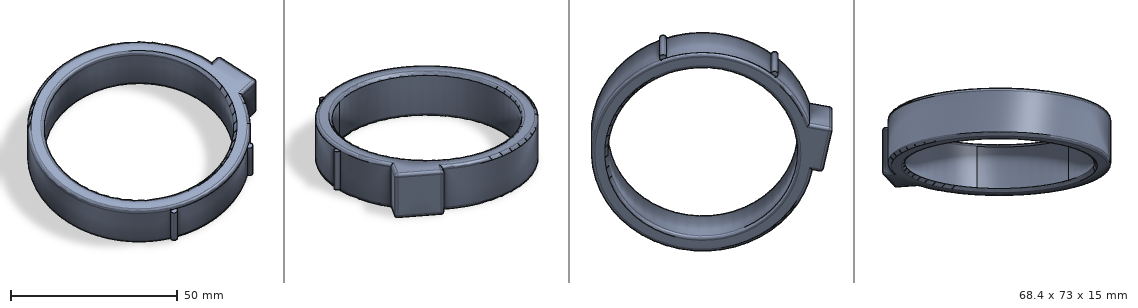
import cadquery as cq
import math

bore_radius = 28.5
wall = 5.05
outer_radius = bore_radius + wall
height = 15.0
edge_round = 1.0

block_tilt = 27.0
block_near_side = 0.7
block_width = 15.1
block_outer_face = 36.65

panel_start = -5.2
panel_end = 55.0
panel_height = height - 2 * edge_round
bead_diameter = 2.1
bead_offset = 0.4
bead_axis_radius = outer_radius + bead_offset


def polar(radius, angle):
    """Point at a radius and an angle in degrees around the ring axis."""
    return (radius * math.cos(math.radians(angle)), radius * math.sin(math.radians(angle)))


def make_block():
    """Upright block with its two outer vertical edges rounded."""
    return (
        cq.Workplane("XY")
        .box(block_width, block_outer_face, height, centered=(False, False, True))
        .edges("|Z and >Y")
        .fillet(edge_round)
        .translate((block_near_side, 0, 0))
        .rotate((0, 0, 0), (0, 0, 1), block_tilt)
    )


def make_panel():
    """Arc of the full wall thickness between two radial planes, plus the end beads."""
    panel_middle = (panel_start + panel_end) / 2
    panel = (
        cq.Workplane("XY")
        .moveTo(*polar(bore_radius, panel_start))
        .lineTo(*polar(outer_radius, panel_start))
        .threePointArc(polar(outer_radius, panel_middle), polar(outer_radius, panel_end))
        .lineTo(*polar(bore_radius, panel_end))
        .threePointArc(polar(bore_radius, panel_middle), polar(bore_radius, panel_start))
        .close()
        .extrude(panel_height / 2, both=True)
    )
    for angle in (panel_start, panel_end):
        bead = (
            cq.Workplane("XY")
            .center(*polar(bead_axis_radius, angle))
            .circle(bead_diameter / 2)
            .extrude(panel_height / 2, both=True)
        )
        panel = panel.union(bead)
    return panel


def make_housing(panel):
    """Ring and block with rounded rims, and a window that fits the panel."""
    disc = cq.Workplane("XY").circle(outer_radius).extrude(height / 2, both=True)
    bore = cq.Workplane("XY").circle(bore_radius).extrude(height / 2, both=True)
    body = disc.union(make_block()).cut(bore)
    body = body.faces("<Z or >Z").edges().fillet(edge_round)
    return body.cut(panel)


panel = make_panel()
housing = make_housing(panel)

result = cq.Compound.makeCompound([housing.val(), panel.val()])